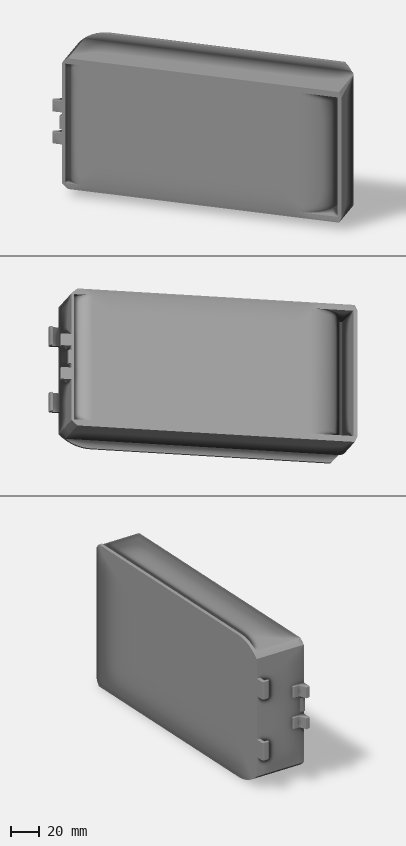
import cadquery as cq
import math


overall_length = 212.5
clip_reach = 7.5
case_length = overall_length - clip_reach
case_depth = 40.0
flange_height = 110.7
case_height = 99.0
flange_thickness = 2.5
half_flange = flange_height / 2
half_case = case_height / 2

corner_radius = 31.9
corner_end = 22.7

corner_cut_x = 2.0
corner_cut_z = 3.8
end_draft = 2.1
back_round = 8.5
flange_end = 194.5
flange_cut = 8.5

pocket_height = 90.5
floor_radius = 1.3

left_pocket_wall = 2.0
left_pocket_lip = 14.7
left_lip_radius = 12.7
left_lip_angle = 50.0
left_wall_draft = 0.0

right_pocket_lip = 172.0
right_pocket_wall = 202.0
right_lip_radius = 23.0
right_lip_angle = 71.5
right_wall_draft = 0.6

hook_z = 23.8
hook_width = 13.5
hook_depth = 5.7
hook_arm = 2.8
hook_lip = 2.1
hook_chamfer_x = 0.6
hook_chamfer_y = 1.3

catch_z = 12.1
catch_width = 8.5
catch_depth = 10.2
catch_stem = 2.1
catch_stem_front = 5.5
catch_tip = 3.2
small_chamfer = 0.6
ramp_mid = (-4.2, 4.2)

block_width = 9.8
block_depth = 3.8
block_reach = 2.1
block_slope = 1.3


def slab(profile, height, z_center=0.0):
    """Extrude a closed XY profile along Z, centred on z_center."""
    return profile.extrude(height / 2, both=True).translate((0, 0, z_center))


def rounded_plate(right_points, depth, y_start):
    """Plate with rounded left corners; right_points is its upper right outline, seen from the front."""
    arc_center_z = half_flange - corner_radius
    start_angle = math.acos(corner_end / corner_radius)
    mid_angle = (start_angle + math.pi / 2) / 2
    start_z = arc_center_z + corner_radius * math.sin(start_angle)
    mid_x = corner_end - corner_radius * math.cos(mid_angle)
    mid_z = arc_center_z + corner_radius * math.sin(mid_angle)

    outline = (
        cq.Workplane("XZ", origin=(0, y_start, 0))
        .moveTo(0, -start_z)
        .lineTo(0, start_z)
        .threePointArc((mid_x, mid_z), (corner_end, half_flange))
    )
    for x, z in right_points:
        outline = outline.lineTo(x, z)
    for x, z in reversed(right_points):
        outline = outline.lineTo(x, -z)
    outline = outline.lineTo(corner_end, -half_flange).threePointArc((mid_x, -mid_z), (0, -start_z))
    return outline.close().extrude(-depth)


def make_case():
    """Deep body with a thin flange along its back, trimmed by the leaning, rounded right end."""
    body = rounded_plate([(case_length, half_flange)], case_depth, 0)
    body_limits = (
        cq.Workplane("XZ")
        .moveTo(0, -half_case)
        .lineTo(0, half_case)
        .lineTo(case_length - corner_cut_x, half_case)
        .lineTo(case_length, half_case - corner_cut_z)
        .lineTo(case_length, -half_case + corner_cut_z)
        .lineTo(case_length - corner_cut_x, -half_case)
        .close()
        .extrude(-case_depth)
    )
    flange = rounded_plate(
        [(flange_end, half_flange), (flange_end + flange_cut, half_flange - flange_cut)],
        flange_thickness,
        case_depth - flange_thickness,
    )
    end_profile = (
        cq.Workplane("XY")
        .polyline([(0, 0), (case_length, 0), (case_length - end_draft, case_depth), (0, case_depth)])
        .close()
    )
    end_limits = slab(end_profile, flange_height).faces(">Y").edges(">X").fillet(back_round)
    return body.intersect(body_limits).union(flange).intersect(end_limits)


def pocket(lip_x, wall_x, lip_radius, lip_angle, wall_draft):
    """Cutter that runs over a round lip, down a slope and through a round floor up to a wall."""
    toward_wall = math.copysign(1, wall_x - lip_x)
    slope = math.radians(lip_angle)

    wall_top = abs(wall_x - lip_x)
    wall_foot = wall_top - wall_draft
    lip_foot = lip_radius * math.sin(slope)
    lip_foot_depth = lip_radius * (1 - math.cos(slope))
    floor_center = wall_foot - floor_radius
    floor_start = floor_center - floor_radius * math.sin(slope)
    floor_start_depth = lip_foot_depth + (floor_start - lip_foot) * math.tan(slope)
    floor_center_depth = floor_start_depth - floor_radius * math.cos(slope)
    floor_mid_angle = (math.pi / 2 + slope) / 2

    def at(distance, depth):
        return (lip_x + toward_wall * distance, depth)

    lip_mid = at(lip_radius * math.sin(slope / 2), lip_radius * (1 - math.cos(slope / 2)))
    floor_mid = at(
        floor_center + floor_radius * math.cos(floor_mid_angle),
        floor_center_depth + floor_radius * math.sin(floor_mid_angle),
    )
    profile = (
        cq.Workplane("XY")
        .moveTo(*at(0, 0))
        .threePointArc(lip_mid, at(lip_foot, lip_foot_depth))
        .lineTo(*at(floor_start, floor_start_depth))
        .threePointArc(floor_mid, at(wall_foot, floor_center_depth))
        .lineTo(*at(wall_top, 0))
        .close()
    )
    return slab(profile, pocket_height)


def hook(z):
    """Hook level with the back face, its lip bent toward the front."""
    tip_y = case_depth - hook_depth
    profile = (
        cq.Workplane("XY")
        .polyline(
            [
                (0, case_depth),
                (-clip_reach + hook_chamfer_x, case_depth),
                (-clip_reach, case_depth - hook_chamfer_y),
                (-clip_reach, tip_y + hook_chamfer_y),
                (-clip_reach + hook_chamfer_x, tip_y),
                (-clip_reach + hook_lip, tip_y),
                (-clip_reach + hook_lip, case_depth - hook_arm),
                (0, case_depth - hook_arm),
            ]
        )
        .close()
    )
    return slab(profile, hook_width, z)


def catch(z):
    """Catch level with the front face, a hollow ramp rising from its tip to a thin stem."""
    profile = (
        cq.Workplane("XY")
        .moveTo(0, 0)
        .lineTo(-clip_reach + small_chamfer, 0)
        .lineTo(-clip_reach, small_chamfer)
        .lineTo(-clip_reach, catch_tip)
        .threePointArc(ramp_mid, (-catch_stem, catch_stem_front))
        .lineTo(-catch_stem, catch_depth - small_chamfer)
        .lineTo(-catch_stem + small_chamfer, catch_depth)
        .lineTo(0, catch_depth)
        .close()
    )
    return slab(profile, catch_width, z)


def stop_block():
    """Small block level with the front face, sloped toward the back."""
    profile = (
        cq.Workplane("XY")
        .polyline(
            [
                (0, 0),
                (-block_reach + small_chamfer, 0),
                (-block_reach, small_chamfer),
                (-block_reach, block_depth - block_slope),
                (-block_reach + small_chamfer, block_depth),
                (0, block_depth),
            ]
        )
        .close()
    )
    return slab(profile, block_width)


result = make_case()
result = result.cut(
    pocket(left_pocket_lip, left_pocket_wall, left_lip_radius, left_lip_angle, left_wall_draft)
)
result = result.cut(
    pocket(right_pocket_lip, right_pocket_wall, right_lip_radius, right_lip_angle, right_wall_draft)
)
for side in (-1, 1):
    result = result.union(hook(side * hook_z))
    result = result.union(catch(side * catch_z))
result = result.union(stop_block())